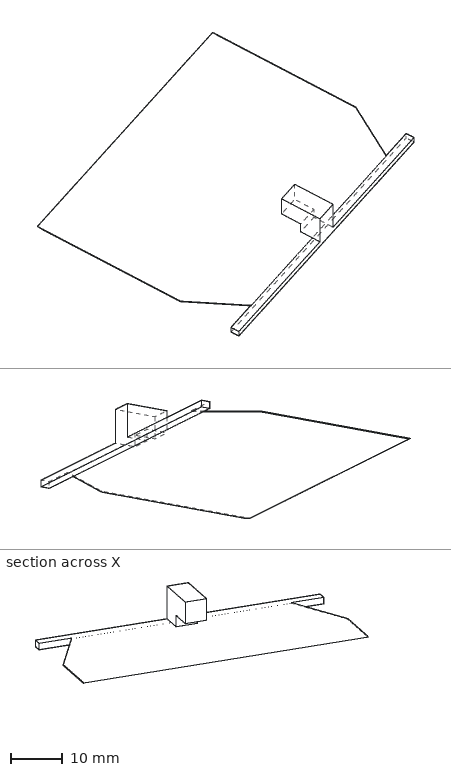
import cadquery as cq
import math

length = 47.35
width = 60.0
height = 8.2

plate_thickness = 0.2
edge_bevel_length = 1.2
corner_depth = 6.85
corner_angle = 30.0

bar_width = 1.85
bar_height = 1.4

catch_length = 9.0
catch_width = 4.5
catch_foot_length = 4.5
catch_arm_height = 4.5

catch_height = height - bar_height
bar_front = length - bar_width


def extrude_side_profile(points, depth):
    """Extrude an XZ outline symmetrically about the Y = 0 plane."""
    return cq.Workplane("XZ").polyline(points).close().extrude(depth / 2, both=True)


def make_plate():
    plate = extrude_side_profile(
        [
            (0, 0),
            (length, 0),
            (length, -plate_thickness),
            (edge_bevel_length, -plate_thickness),
        ],
        width,
    )
    corner_start = bar_front - corner_depth / math.tan(math.radians(corner_angle))
    for side in (-1, 1):
        corner = (
            cq.Workplane("XY")
            .workplane(offset=-plate_thickness)
            .polyline([
                (corner_start, side * width / 2),
                (bar_front, side * (width / 2 - corner_depth)),
                (bar_front, side * width / 2),
            ])
            .close()
            .extrude(plate_thickness)
        )
        plate = plate.cut(corner)
    return plate


def make_bar():
    return cq.Workplane("XY").box(
        bar_width, width, bar_height, centered=(False, True, False)
    ).translate((bar_front, 0, -bar_height))


def make_catch():
    arm_underside = catch_height - catch_arm_height
    foot_front = length - catch_foot_length
    arm_front = length - catch_length
    return extrude_side_profile(
        [
            (length, 0),
            (length, catch_height),
            (arm_front, catch_height),
            (arm_front, arm_underside),
            (foot_front, arm_underside),
            (foot_front, 0),
        ],
        catch_width,
    )


result = make_plate().union(make_bar()).union(make_catch())